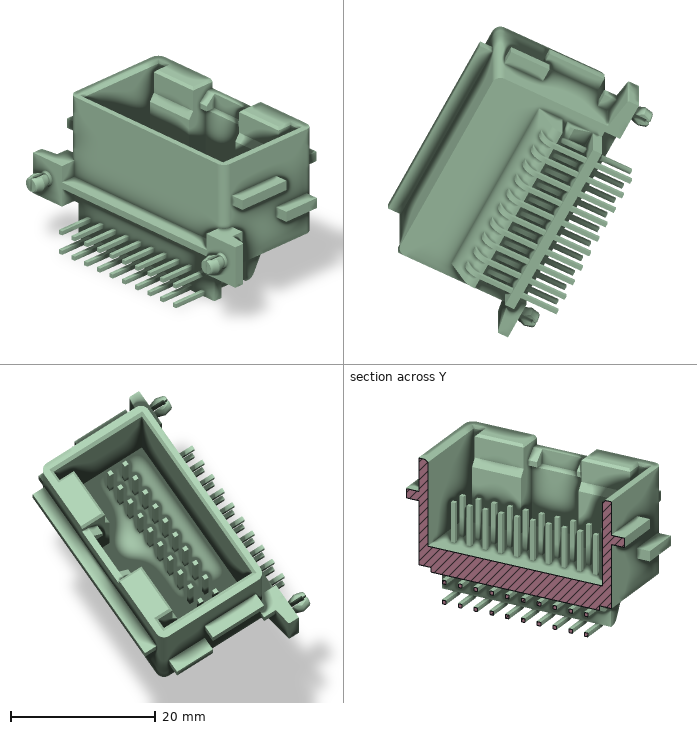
import cadquery as cq
import math


shroud_half_width = 15.3
shroud_depth = 17.3
shroud_height = 16.3
shroud_corner_radius = 1.25
wall_front = 1.25
wall_back = 1.4
wall_side = 1.5
floor_z = 3.2
rim_chamfer_side = 0.5
rim_chamfer = 0.4
cavity_half_width = shroud_half_width - wall_side
cavity_back_y = shroud_depth - wall_back

block_inner_x = 4.55
block_outer_x = 12.3
block_front_y = 12.75
block_step = 0.75
block_step_top_z = 12.7
block_step_bottom_z = 11.6
block_chamfer = 0.35
window_sill_z = 14.9
recess_depth = 0.4
recess_slope_top_z = 12.7
recess_slope_bottom_z = 12.15
tab_width = 1.4
tab_front_y = 14.8
tab_nose_top_z = 13.5
tab_bottom_z = 12.7

rail_half_span = 17.3
side_rail_z = (9.7, 11.2)
side_rail_y = (1.6, 10.1)
back_rail_half_width = 14.05
back_rail_y = 19.25
low_rail_bottom_z = 4.75
low_rail_end_y = shroud_depth - shroud_corner_radius

ear_half_span = 20.0
ear_inner_x = 14.3
ear_front_y = -2.4
ear_tip_y = -0.75
ear_height = 6.3
ear_fillet = 0.25
bar_z = (2.8, 3.8)

tail_half_width = 13.4
tail_thickness = 1.4
tail_bottom_z = -5.4
back_rib_rear_y = 9.75
back_rib_front_y = 6.1
front_rib_toe_y = 4.3
front_rib_front_y = 1.5

pin_size = 0.65
pins_per_row = 10
pin_row_span = 22.5
pin_pitch = pin_row_span / (pins_per_row - 1)
pin_top_z = 9.3
pin_tip_y = -5.65
front_row_y = 5.7
front_row_z = -1.75
front_row_bend = 0.5
back_row_y = front_row_y + pin_pitch
back_row_z = -4.8
back_row_bend = 1.4

peg_x = 17.3
peg_z = 3.3
peg_length = 3.05
collar_length = 0.35
collar_root_radius = 1.15
collar_end_radius = 1.0
peg_neck_radius = 0.9
peg_bulge_radius = 1.35
peg_bulge_at = 1.75
peg_end_radius = 1.1
peg_end_chamfer = 0.15
peg_flat_height = 2.1
peg_slot_width = 0.7
peg_mouth_width = 0.3
peg_lip_length = 0.55


def box(x, y, z):
    """Box from (low, high) ranges along X, Y and Z."""
    size = [high - low for low, high in (x, y, z)]
    return cq.Workplane("XY").box(*size, centered=False).translate((x[0], y[0], z[0]))


def centred(half):
    return (-half, half)


def extrude_x(outline, low, high):
    """Extrude a YZ outline between two X positions."""
    return outline.close().extrude(high - low).translate((low, 0, 0))


def both_sides(solid):
    return solid.union(solid.mirror("YZ"))


def make_shroud():
    shell = box(centred(shroud_half_width), (0, shroud_depth), (0, shroud_height))
    shell = shell.edges("|Z").fillet(shroud_corner_radius)
    cavity = box(centred(cavity_half_width), (wall_front, cavity_back_y), (floor_z, shroud_height))
    mouth_z = shroud_height - rim_chamfer
    mouth_depth = cavity_back_y - wall_front
    mouth = (
        cq.Workplane("XY", origin=(0, (wall_front + cavity_back_y) / 2, mouth_z))
        .rect(2 * cavity_half_width, mouth_depth)
        .workplane(offset=rim_chamfer)
        .rect(2 * (cavity_half_width + rim_chamfer_side), mouth_depth + 2 * rim_chamfer)
        .loft()
    )
    return shell.cut(cavity).cut(mouth)


def make_block():
    """Keying block on +X: stepped front face and a chamfered top on three sides."""
    upper_front_y = block_front_y + block_step
    upper = box((block_inner_x, block_outer_x), (upper_front_y, shroud_depth), (floor_z, shroud_height))
    upper = upper.faces(">Z").edges("<X or >X or <Y").chamfer(block_chamfer)
    step = (
        cq.Workplane("YZ")
        .moveTo(block_front_y, floor_z)
        .lineTo(block_front_y, block_step_bottom_z)
        .lineTo(upper_front_y, block_step_top_z)
        .lineTo(upper_front_y, floor_z)
    )
    return upper.union(extrude_x(step, block_inner_x, block_outer_x))


def make_window():
    """Cut that lowers the back wall between the blocks and thins it under the sill."""
    recess_y = cavity_back_y + recess_depth
    outline = (
        cq.Workplane("YZ")
        .moveTo(cavity_back_y, shroud_height)
        .lineTo(cavity_back_y, recess_slope_bottom_z)
        .lineTo(recess_y, recess_slope_top_z)
        .lineTo(recess_y, window_sill_z)
        .lineTo(shroud_depth, window_sill_z)
        .lineTo(shroud_depth, shroud_height)
    )
    window = extrude_x(outline, -block_inner_x, block_inner_x)
    flare = (
        cq.Workplane("XZ", origin=(0, shroud_depth, 0))
        .moveTo(-block_inner_x, shroud_height - block_chamfer)
        .lineTo(block_inner_x, shroud_height - block_chamfer)
        .lineTo(block_inner_x + block_chamfer, shroud_height)
        .lineTo(-block_inner_x - block_chamfer, shroud_height)
        .close()
        .extrude(shroud_depth - cavity_back_y)
    )
    return window.union(flare)


def make_latch_tab():
    """Ramped tab in the +X corner of the window."""
    recess_y = cavity_back_y + recess_depth
    outline = (
        cq.Workplane("YZ")
        .moveTo(recess_y, window_sill_z)
        .lineTo(tab_front_y, tab_nose_top_z)
        .lineTo(tab_front_y, tab_bottom_z)
        .lineTo(recess_y, tab_bottom_z)
    )
    return extrude_x(outline, block_inner_x - tab_width, block_inner_x)


def make_side_rails():
    """Rails on the +X side wall."""
    x = (shroud_half_width, rail_half_span)
    low_z = (low_rail_bottom_z, ear_height)
    rails = box(x, side_rail_y, side_rail_z)
    rails = rails.union(box(x, (side_rail_y[1], low_rail_end_y), low_z))
    return rails.union(box(x, (ear_front_y, side_rail_y[0]), low_z))


def make_ear():
    """Mounting ear on +X, tapered at the back, filling the shroud corner square."""
    ear = (
        cq.Workplane("XY")
        .moveTo(ear_inner_x, ear_front_y)
        .lineTo(ear_half_span, ear_front_y)
        .lineTo(ear_half_span, ear_tip_y)
        .lineTo(shroud_half_width, 0)
        .lineTo(shroud_half_width, shroud_corner_radius)
        .lineTo(shroud_half_width - shroud_corner_radius, shroud_corner_radius)
        .lineTo(shroud_half_width - shroud_corner_radius, 0)
        .lineTo(ear_inner_x, 0)
        .close()
        .extrude(ear_height)
    )
    for x, y in ((ear_half_span, ear_tip_y), (shroud_half_width, 0)):
        ear = ear.edges(cq.selectors.NearestToPointSelector((x, y, ear_height / 2))).fillet(ear_fillet)
    return ear


def make_peg():
    """Split snap peg on the +X ear, pointing along -Y."""
    profile = (
        cq.Workplane("XY")
        .lineTo(peg_neck_radius, 0)
        .lineTo(peg_neck_radius, -collar_length)
        .lineTo(peg_bulge_radius, -peg_bulge_at)
        .lineTo(peg_end_radius, peg_end_chamfer - peg_length)
        .lineTo(peg_end_radius - peg_end_chamfer, -peg_length)
        .lineTo(0, -peg_length)
        .close()
    )
    peg = profile.revolve(360, (0, 0, 0), (0, 1, 0))
    half_flat = centred(peg_flat_height / 2)
    peg = peg.intersect(box(centred(peg_bulge_radius), (-peg_length, 0), half_flat))
    slot_end = peg_lip_length - peg_length
    peg = peg.cut(box(centred(peg_slot_width / 2), (slot_end, -collar_length), half_flat))
    peg = peg.cut(box(centred(peg_mouth_width / 2), (-peg_length, slot_end), half_flat))
    collar = (
        cq.Workplane("XY")
        .lineTo(collar_root_radius, 0)
        .lineTo(collar_end_radius, -collar_length)
        .lineTo(0, -collar_length)
        .close()
        .revolve(360, (0, 0, 0), (0, 1, 0))
    )
    return peg.union(collar).translate((peg_x, ear_front_y, peg_z))


def make_pin_row(row_y, row_z, bend):
    """Row of square pins bent through 90 degrees; bend is the inside radius."""
    half = pin_size / 2
    outer_bend = bend + pin_size
    bend_y = row_y - half - bend
    bend_z = row_z + half + bend
    outline = (
        cq.Workplane("YZ")
        .moveTo(row_y + half, pin_top_z)
        .lineTo(row_y + half, bend_z)
        .radiusArc((bend_y, row_z - half), outer_bend)
        .lineTo(pin_tip_y, row_z - half)
        .lineTo(pin_tip_y, row_z + half)
        .lineTo(bend_y, row_z + half)
        .radiusArc((row_y - half, bend_z), -bend)
        .lineTo(row_y - half, pin_top_z)
    )
    pin = extrude_x(outline, -half, half)
    row = cq.Workplane("XY")
    for i in range(pins_per_row):
        row = row.add(pin.translate((i * pin_pitch - pin_row_span / 2, 0, 0)))
    return row.combine()


def make_back_rib():
    """Rib whose lower rear corner is the inside of the back-row bend."""
    half = pin_size / 2
    centre_y = back_row_y - half - back_row_bend
    centre_z = back_row_z + half + back_row_bend
    run = back_rib_rear_y - centre_y
    rise = -centre_z
    tangent_angle = math.atan2(rise, run) - math.acos(back_row_bend / math.hypot(run, rise))
    tangent = (
        centre_y + back_row_bend * math.cos(tangent_angle),
        centre_z + back_row_bend * math.sin(tangent_angle),
    )
    outline = (
        cq.Workplane("YZ")
        .moveTo(back_rib_front_y, 0)
        .lineTo(back_rib_rear_y, 0)
        .lineTo(*tangent)
        .radiusArc((centre_y, back_row_z + half), back_row_bend)
        .lineTo(back_rib_front_y, back_row_z + half)
    )
    return extrude_x(outline, -tail_half_width, tail_half_width)


def make_front_rib():
    """Rib whose lower rear corner is the inside of the front-row bend."""
    half = pin_size / 2
    rear_y = front_row_y - half
    bottom_z = front_row_z + half
    outline = (
        cq.Workplane("YZ")
        .moveTo(front_rib_front_y, 0)
        .lineTo(rear_y, 0)
        .lineTo(rear_y, bottom_z + front_row_bend)
        .radiusArc((rear_y - front_row_bend, bottom_z), front_row_bend)
        .lineTo(front_rib_toe_y, bottom_z)
    )
    return extrude_x(outline, -tail_half_width, tail_half_width)


result = make_shroud().cut(make_window())
for feature in (make_block(), make_latch_tab(), make_side_rails(), make_ear(), make_peg()):
    result = result.union(both_sides(feature))

back_rail = box(centred(back_rail_half_width), (shroud_depth, back_rail_y), side_rail_z)
front_bar = box(centred(ear_inner_x), (ear_front_y, 0), bar_z)
tail_plate = box(centred(tail_half_width), (0, tail_thickness), (tail_bottom_z, 0))
for feature in (back_rail, front_bar, tail_plate, make_back_rib(), make_front_rib()):
    result = result.union(feature)

result = result.union(make_pin_row(front_row_y, front_row_z, front_row_bend))
result = result.union(make_pin_row(back_row_y, back_row_z, back_row_bend))